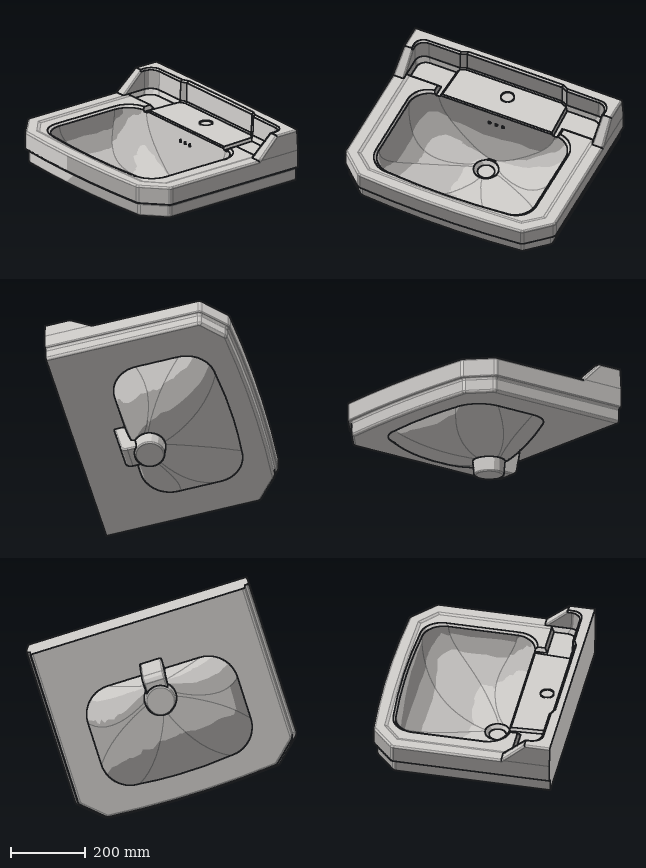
import cadquery as cq
import math


width = 619.97
depth = 504.76
height = 264.34

band_bottom = 112.5
step_level = 154.0
rim_level = 206.0
panel_level = 203.5
platform_level = 201.0
dish_level = 193.0
splash_crown = 1.7
bowl_floor = 47.0

half_width = width / 2
chamfer_start_y = -431.0
front_corner_x = 242.0
front_corner_y = -494.0
corner_radius = 14.0
band_inset = 9.5
wall_overrun = 60.0
top_overrun = 8.0
clip_offset_ratio = math.tan(math.radians(22.5))
edge_round = 4.0
band_round = 7.0
step_cove = 6.0
step_round = 3.0
top_round = 5.0

splash_draft = 4.2
splash_shelf_y = -68.0
splash_foot_y = -132.0

rim_bevel = 8.0
alcove_lip_grow = 9.5
alcove_bevel = 4.0
alcove_back_y = -33.0
alcove_side_y = -41.0
alcove_jog_inner_x = 140.0
alcove_jog_outer_x = 157.0
alcove_corner_radius = 28.0
recess_half_width = 269.0
recess_chamfer_y = -419.0
recess_corner_x = 223.0
recess_corner_y = -459.0
recess_front_y = -464.5

platform_back_half = 161.0
platform_front_half = 168.0
dish_front_y = -105.0
channel_outer_x = 178.0
dish_wall_draft = 35.0
channel_end_y = -150.0
tap_y = -69.0
tap_radius = 18.0
tap_depth = 3.0

bowl_half_width = 231.0
bowl_front_reach = 250.0
bowl_back_y = -138.0
bowl_back_lean = 28.0
bowl_corner_radius = 60.0
bowl_front_bow = 8.0
bowl_exponent = 2.4
bowl_depths = (0.0, 0.2, 0.4, 0.6, 0.8, 0.92, 0.98, 0.998)
bowl_lip_bevel = 6.0
bowl_lip_fraction = 0.04
shell_grow = 3.0
shell_floor = 38.0

drain_y = -204.0
spout_bottom_radius = 40.0
spout_top_radius = 44.0
spout_top = 44.0
flare_radius = 35.0
flare_floor_radius = 23.0
flare_depth = 10.0
drain_level = 48.5
overflow_half_width = 30.0
overflow_back_y = -113.0
overflow_foot_y = -133.0
overflow_inner_y = -140.0
overflow_bottom = 7.0
overflow_bend_radius = 20.0
overflow_hole_radius = 3.5
overflow_hole_pitch = 20.0
overflow_hole_level = 160.0
overflow_hole_depth = 15.0


def outer_plan(inset, z):
    """Basin outline with clipped front corners and a bowed front, running on past the wall face."""
    side = half_width - inset
    clip_shift = inset * clip_offset_ratio
    clip_y = chamfer_start_y + clip_shift
    corner_x = front_corner_x - clip_shift
    corner_y = front_corner_y + inset
    return (
        cq.Workplane("XY", origin=(0, 0, z))
        .moveTo(-side, wall_overrun)
        .lineTo(-side, clip_y)
        .lineTo(-corner_x, corner_y)
        .threePointArc((0, -depth + inset), (corner_x, corner_y))
        .lineTo(side, clip_y)
        .lineTo(side, wall_overrun)
        .close()
    )


def behind_wall():
    size = 3 * width
    return cq.Workplane("XY").box(size, size, size, centered=(True, False, True))


def splash_block():
    """Drafted slab that the sloping arms are cut from, taller than the finished backsplash."""
    slab_top = height + top_overrun
    slope_run = splash_shelf_y - splash_foot_y
    overrun_run = top_overrun * slope_run / (height - rim_level)
    slab = outer_plan(0, rim_level).extrude(slab_top - rim_level, taper=splash_draft)
    side_profile = (
        cq.Workplane("YZ")
        .moveTo(0, rim_level)
        .lineTo(0, slab_top)
        .lineTo(splash_shelf_y + overrun_run, slab_top)
        .lineTo(splash_foot_y, rim_level)
        .close()
        .extrude(width, both=True)
    )
    return slab.intersect(side_profile)


def above_crown():
    """Everything over the gently arched top of the backsplash."""
    ceiling = height + 2 * top_overrun
    crown_end = height - 4 * splash_crown
    return (
        cq.Workplane("XZ", origin=(0, wall_overrun, 0))
        .moveTo(-width, ceiling)
        .lineTo(-width, crown_end)
        .threePointArc((0, height), (width, crown_end))
        .lineTo(width, ceiling)
        .close()
        .extrude(depth)
    )


def top_rim_edges(body):
    """Edges that bound the upward faces of the rim, arms and backsplash, leaving out the wall side."""
    uses = {}
    for face in body.faces().vals():
        if face.Center().z > rim_level - 1 and face.normalAt().z > 0.5:
            for edge in face.Edges():
                uses.setdefault(edge.hashCode(), []).append(edge)
    border = [edges[0] for edges in uses.values() if len(edges) == 1]
    return [edge for edge in border if edge.BoundingBox().ymin < -1]


def upper_body():
    """Wide upper band topped by the backsplash, with its outer top edge rounded."""
    band = outer_plan(0, step_level).extrude(rim_level - step_level)
    band = band.edges("|Z").fillet(corner_radius)
    body = band.union(splash_block()).cut(behind_wall()).cut(above_crown())
    body = body.newObject([body.val().fillet(top_round, top_rim_edges(body))])
    return body.faces("<Z").edges("not(>Y)").fillet(step_round)


def lower_band():
    band = outer_plan(band_inset, band_bottom).extrude(step_level - band_bottom + step_round)
    band = band.edges("|Z").fillet(corner_radius)
    band = band.faces("<Z").edges().fillet(band_round)
    return band.cut(behind_wall())


def recess_section(grow, z):
    """Plan of the recess at one level: alcove at the back, clipped corners at the front."""
    back = alcove_back_y + grow
    shoulder = alcove_side_y + grow
    side = recess_half_width + grow
    radius = alcove_corner_radius
    diagonal = radius * (1 - math.sqrt(0.5))
    clip_shift = grow * clip_offset_ratio
    clip_y = recess_chamfer_y - clip_shift
    corner_x = recess_corner_x + clip_shift
    corner_y = recess_corner_y - grow
    return (
        cq.Workplane("XY", origin=(0, 0, z))
        .moveTo(-alcove_jog_inner_x, back)
        .lineTo(alcove_jog_inner_x, back)
        .lineTo(alcove_jog_outer_x, shoulder)
        .lineTo(side - radius, shoulder)
        .threePointArc((side - diagonal, shoulder - diagonal), (side, shoulder - radius))
        .lineTo(side, clip_y)
        .lineTo(corner_x, corner_y)
        .threePointArc((0, recess_front_y - grow), (-corner_x, corner_y))
        .lineTo(-side, clip_y)
        .lineTo(-side, shoulder - radius)
        .threePointArc((-side + diagonal, shoulder - diagonal), (-side + radius, shoulder))
        .lineTo(-alcove_jog_outer_x, shoulder)
        .close()
        .wire()
        .val()
    )


def recess():
    """Shallow bevelled step inside the rim, steep alcove walls and a bevelled alcove lip."""
    levels = (
        (0, panel_level),
        (rim_bevel, rim_level),
        (alcove_lip_grow, height - splash_crown - alcove_bevel),
        (alcove_lip_grow + alcove_bevel + top_overrun, height - splash_crown + top_overrun),
    )
    sections = [recess_section(grow, z) for grow, z in levels]
    return cq.Workplane(cq.Solid.makeLoft(sections, True))


def dish_cutter(side):
    """Sloping-walled soap dish on one side (-1 or 1) with its channel running to the bowl."""
    corners = [
        (platform_back_half, 0),
        (half_width, 0),
        (half_width, dish_front_y),
        (channel_outer_x, dish_front_y),
        (channel_outer_x, channel_end_y),
        (platform_front_half, channel_end_y),
    ]
    return (
        cq.Workplane("XY", origin=(0, 0, dish_level))
        .polyline([(side * x, y) for x, y in corners])
        .close()
        .extrude(rim_level - dish_level, taper=-dish_wall_draft)
    )


def ledges():
    """Tap platform slightly below the panel and lower soap dishes, all kept inside the alcove walls."""
    platform = (
        cq.Workplane("XY", origin=(0, 0, platform_level))
        .polyline([
            (-platform_back_half, 0),
            (platform_back_half, 0),
            (platform_front_half, channel_end_y),
            (-platform_front_half, channel_end_y),
        ])
        .close()
        .extrude(rim_level - platform_level)
    )
    cutter = platform.union(dish_cutter(-1)).union(dish_cutter(1))
    alcove = cq.Solid.makeLoft([recess_section(0, dish_level), recess_section(rim_bevel, rim_level)], True)
    return cutter.intersect(cq.Workplane(alcove))


def bowl_section(fraction, grow, floor):
    """One level of the bowl: a rounded rectangle that shrinks towards the drain."""
    shrink = (1 - fraction ** bowl_exponent) ** (1 / bowl_exponent)
    side = bowl_half_width * shrink + grow
    front = drain_y - bowl_front_reach * shrink - grow
    back = bowl_back_y - bowl_back_lean * fraction ** 2 + grow
    round_limit = 0.9 * min(side, (back - front) / 2)
    radius = bowl_corner_radius + (round_limit - bowl_corner_radius) * fraction ** 2
    bow = bowl_front_bow * shrink
    diagonal = radius * (1 - math.sqrt(0.5))
    shoulder = front + bow
    z = panel_level - fraction * (panel_level - floor)
    return (
        cq.Workplane("XY", origin=(0, 0, z))
        .moveTo(-side + radius, back)
        .lineTo(side - radius, back)
        .threePointArc((side - diagonal, back - diagonal), (side, back - radius))
        .lineTo(side, shoulder + radius)
        .threePointArc((side - diagonal, shoulder + diagonal), (side - radius, shoulder))
        .threePointArc((0, front), (-side + radius, shoulder))
        .threePointArc((-side + diagonal, shoulder + diagonal), (-side, shoulder + radius))
        .lineTo(-side, back - radius)
        .threePointArc((-side + diagonal, back - diagonal), (-side + radius, back))
        .close()
        .wire()
        .val()
    )


def bowl_solid(grow, floor):
    sections = [bowl_section(fraction, grow, floor) for fraction in bowl_depths]
    return cq.Workplane(cq.Solid.makeLoft(sections))


def bowl_lip():
    """Bevel round the mouth of the bowl."""
    mouth = bowl_section(0, bowl_lip_bevel, bowl_floor)
    throat = bowl_section(bowl_lip_fraction, 0, bowl_floor)
    return cq.Workplane(cq.Solid.makeLoft([throat, mouth], True))


def spout():
    return (
        cq.Workplane("XY", origin=(0, drain_y, 0))
        .circle(spout_bottom_radius)
        .workplane(offset=spout_top)
        .circle(spout_top_radius)
        .loft()
        .faces("<Z").edges().fillet(edge_round)
    )


def overflow_duct():
    """Rounded web behind the bowl that carries the overflow down to the spout."""
    return (
        cq.Workplane("YZ")
        .polyline([
            (overflow_back_y, band_bottom + 1),
            (overflow_foot_y, overflow_bottom),
            (drain_y, overflow_bottom),
            (drain_y, spout_top),
            (overflow_inner_y, band_bottom + 1),
        ])
        .close()
        .extrude(overflow_half_width, both=True)
        .edges("|X").edges("<Z").edges(">Y").fillet(overflow_bend_radius)
        .faces(">Y").edges("|Z or (not |X)").fillet(edge_round)
    )


def drain_flare():
    return (
        cq.Workplane("XY", origin=(0, drain_y, drain_level - flare_depth))
        .circle(flare_floor_radius)
        .workplane(offset=flare_depth)
        .circle(flare_radius)
        .workplane(offset=flare_depth)
        .circle(flare_radius)
        .loft(ruled=True)
    )


def overflow_holes():
    spots = [(step * overflow_hole_pitch, overflow_hole_level) for step in (-1, 0, 1)]
    return (
        cq.Workplane("XZ", origin=(0, bowl_back_y + overflow_hole_depth, 0))
        .pushPoints(spots)
        .circle(overflow_hole_radius)
        .extrude(2 * overflow_hole_depth)
    )


def tap_hole():
    return (
        cq.Workplane("XY", origin=(0, tap_y, platform_level - tap_depth))
        .circle(tap_radius)
        .extrude(2 * tap_depth)
    )


def round_arm_edges(body):
    """Round the inner edges of the sloping backsplash arms."""
    slope_centre_y = (splash_shelf_y + splash_foot_y) / 2
    arm_edges = [
        edge for edge in body.edges().vals()
        if edge.BoundingBox().zlen > (height - rim_level) / 2
        and abs(edge.Center().y - slope_centre_y) < top_overrun
        and abs(edge.Center().x) < recess_half_width + alcove_lip_grow + alcove_bevel
    ]
    return body.newObject([body.val().fillet(edge_round, arm_edges)])


def cove_bands(body):
    """Cove the corner where the wide band overhangs the narrow one."""
    plan_tolerance = 0.1
    overhang_edges = [
        edge for edge in body.edges().vals()
        if edge.BoundingBox().zmin > step_level - plan_tolerance
        and edge.BoundingBox().zmax < step_level + plan_tolerance
        and edge.BoundingBox().xmax < half_width - band_inset + plan_tolerance
        and edge.BoundingBox().xmin > -half_width + band_inset - plan_tolerance
        and edge.BoundingBox().ymin > -depth + band_inset - plan_tolerance
    ]
    return body.newObject([body.val().fillet(step_cove, overhang_edges)])


def basin_rim():
    body = round_arm_edges(upper_body().cut(recess()))
    return cove_bands(body.union(lower_band()))


result = (
    basin_rim()
    .union(bowl_solid(shell_grow, shell_floor))
    .union(overflow_duct())
    .union(spout())
    .cut(bowl_solid(0, bowl_floor))
    .cut(bowl_lip())
    .cut(ledges())
    .cut(drain_flare())
    .cut(overflow_holes())
    .cut(tap_hole())
)